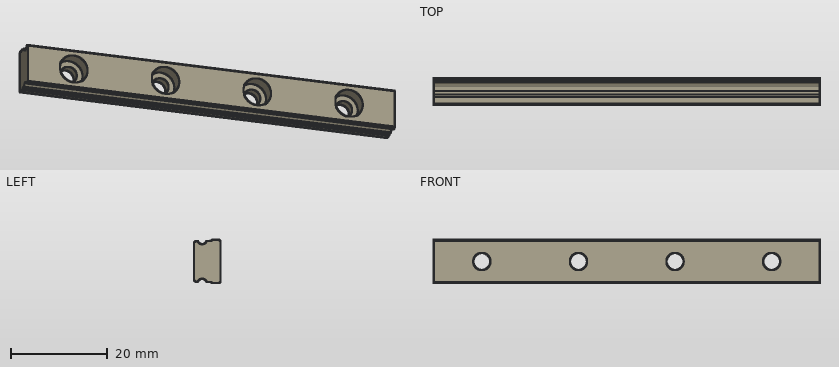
import cadquery as cq
import math

length = 80.0
height = 5.5
width = 9.0

base_chamfer = 0.3
base_depth = 1.65
step_run = 0.5
side_recess = 0.25
head_chamfer_run = 0.4
head_chamfer_rise = 0.3

groove_start = 0.77
groove_width = 1.83
groove_depth = 0.65
groove_arc_radius = 1.0

hole_diameter = 3.5
counterbore_diameter = 6.0
counterbore_depth = 3.3
hole_count = 4
hole_pitch = length / hole_count

base_y = -height / 2
head_y = height / 2
base_z = width / 2
land_z = base_z - side_recess
groove_bottom_z = land_z - groove_depth
groove_head_y = head_y - groove_start
groove_middle_y = groove_head_y - groove_width / 2
groove_base_y = groove_head_y - groove_width


def arc_middle(start, end, radius):
    """Midpoint of the arc from start to end that bulges to the right of the travel."""
    run = end[0] - start[0]
    rise = end[1] - start[1]
    chord = math.hypot(run, rise)
    bulge = radius - math.sqrt(radius**2 - (chord / 2) ** 2)
    middle_y = (start[0] + end[0]) / 2 + bulge * rise / chord
    middle_z = (start[1] + end[1]) / 2 - bulge * run / chord
    return middle_y, middle_z


def make_rail():
    """Extrude half of the cross-section and mirror it about the middle plane."""
    groove_base_edge = (groove_base_y, land_z)
    groove_bottom = (groove_middle_y, groove_bottom_z)
    groove_head_edge = (groove_head_y, land_z)
    half = (
        cq.Workplane("YZ", origin=(-length / 2, 0, 0))
        .moveTo(base_y, 0)
        .lineTo(base_y, base_z - base_chamfer)
        .lineTo(base_y + base_chamfer, base_z)
        .lineTo(base_y + base_depth, base_z)
        .lineTo(base_y + base_depth + step_run, land_z)
        .lineTo(*groove_base_edge)
        .threePointArc(arc_middle(groove_base_edge, groove_bottom, groove_arc_radius), groove_bottom)
        .threePointArc(arc_middle(groove_bottom, groove_head_edge, groove_arc_radius), groove_head_edge)
        .lineTo(head_y - head_chamfer_run, land_z)
        .lineTo(head_y, land_z - head_chamfer_rise)
        .lineTo(head_y, 0)
        .close()
        .extrude(length)
    )
    return half.union(half.mirror("XY")).clean()


def make_cylinders(diameter, depth):
    """Row of cylinders sunk from the head face, evenly spaced and centred on the rail."""
    return (
        cq.Workplane("XZ", origin=(0, head_y, 0))
        .rarray(hole_pitch, hole_pitch, hole_count, 1)
        .circle(diameter / 2)
        .extrude(depth)
    )


def make_holes():
    """Through holes with counterbores for the screw heads."""
    through_holes = make_cylinders(hole_diameter, height)
    counterbores = make_cylinders(counterbore_diameter, counterbore_depth)
    return through_holes.union(counterbores)


result = make_rail().cut(make_holes())